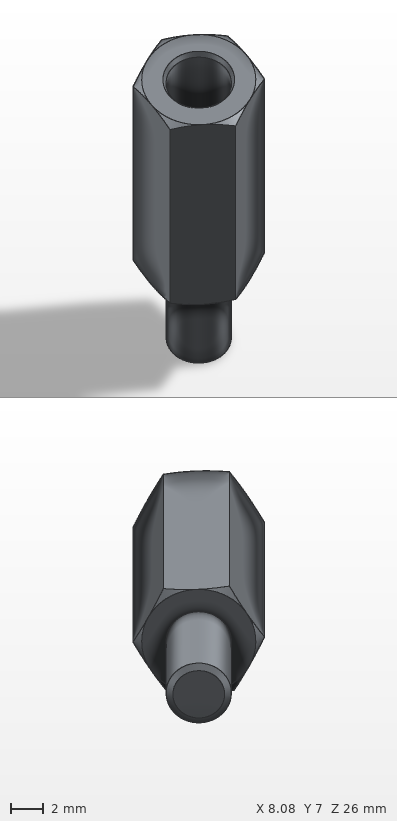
import cadquery as cq
import math

total_length = 26.0
stud_length = 8.0
body_length = total_length - stud_length
across_flats = 7.0
across_corners = across_flats / math.cos(math.radians(30))

stud_diameter = 4.0
stud_chamfer_width = 0.42
stud_chamfer_height = 0.2

hole_diameter = 4.0
hole_depth = 10.0
drill_tip_angle = 118.0
countersink_diameter = 4.4
countersink_angle = 60.0

corner_chamfer_angle = 30.0


def revolve_profile(points):
    """Revolve a closed (radius, height) outline around the Z axis."""
    return cq.Workplane("XZ").polyline(points).close().revolve(360, (0, 0), (0, 1))


def make_body():
    """Hexagonal body with its corners cut back to the inscribed circle at each end."""
    flat_radius = across_flats / 2
    corner_radius = across_corners / 2
    chamfer_height = (corner_radius - flat_radius) * math.tan(math.radians(corner_chamfer_angle))
    hexagon = (
        cq.Workplane("XY")
        .workplane(offset=stud_length)
        .polygon(6, across_corners)
        .extrude(body_length)
    )
    chamfer_envelope = revolve_profile([
        (0, stud_length),
        (flat_radius, stud_length),
        (corner_radius, stud_length + chamfer_height),
        (corner_radius, total_length - chamfer_height),
        (flat_radius, total_length),
        (0, total_length),
    ])
    return hexagon.intersect(chamfer_envelope)


def make_stud():
    """Round stud with a chamfered lower end."""
    stud_radius = stud_diameter / 2
    return revolve_profile([
        (0, 0),
        (stud_radius - stud_chamfer_width, 0),
        (stud_radius, stud_chamfer_height),
        (stud_radius, stud_length),
        (0, stud_length),
    ])


def make_hole():
    """Countersunk blind hole, opening at the top and ending in a drill tip."""
    hole_radius = hole_diameter / 2
    countersink_radius = countersink_diameter / 2
    countersink_depth = (countersink_radius - hole_radius) / math.tan(math.radians(countersink_angle / 2))
    tip_depth = hole_radius / math.tan(math.radians(drill_tip_angle / 2))
    hole_bottom = total_length - hole_depth
    return revolve_profile([
        (0, hole_bottom - tip_depth),
        (hole_radius, hole_bottom),
        (hole_radius, total_length - countersink_depth),
        (countersink_radius, total_length),
        (0, total_length),
    ])


result = make_body().union(make_stud()).cut(make_hole())